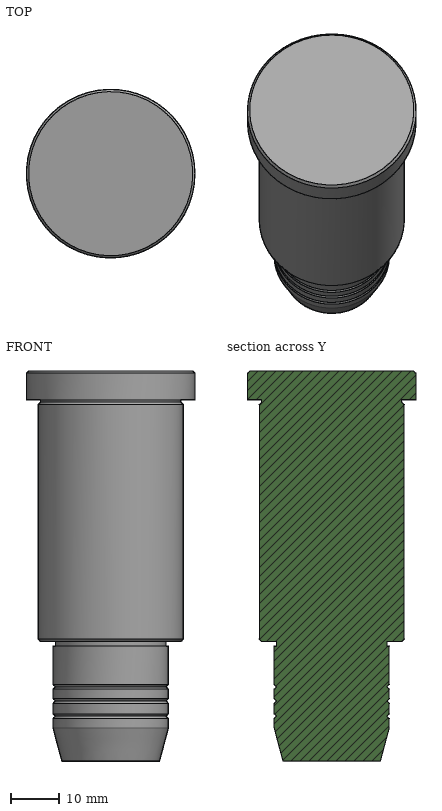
import cadquery as cq

total_length = 81.0
head_radius = 17.5
head_height = 6.0
head_chamfer = 0.5
body_radius = 15.1
body_bottom = 24.9
body_chamfer = 0.5
pin_radius = 12.0

undercut_depth = 0.5
undercut_height = 1.0

groove_heights = [9.4, 12.55, 15.5]
groove_half_width = 0.5
groove_depth = 0.5

tip_height = 7.0
tip_radius = 10.1
tip_edge_radius = 0.25

head_bottom = total_length - head_height
body_neck_radius = body_radius - undercut_depth
pin_neck_radius = pin_radius - undercut_depth


def revolve_profile(points):
    """Revolve a closed (radius, height) outline around the Z axis."""
    return cq.Workplane("XZ").polyline(points).close().revolve(360, (0, 0), (0, 1))


def make_tip():
    """Tapered lead-in with a slightly rounded end."""
    tip = revolve_profile([(0, 0), (tip_radius, 0), (pin_radius, tip_height), (0, tip_height)])
    return tip.faces("<Z").edges().fillet(tip_edge_radius)


def make_shaft():
    """Pin, body and head, with a sloped undercut below the head and a square one below the body."""
    return revolve_profile([
        (0, tip_height),
        (pin_radius, tip_height),
        (pin_radius, body_bottom - undercut_height),
        (pin_neck_radius, body_bottom - undercut_height),
        (pin_neck_radius, body_bottom),
        (body_radius - body_chamfer, body_bottom),
        (body_radius, body_bottom + body_chamfer),
        (body_radius, head_bottom - undercut_height),
        (body_neck_radius, head_bottom - undercut_height + undercut_depth),
        (body_neck_radius, head_bottom),
        (head_radius, head_bottom),
        (head_radius, total_length - head_chamfer),
        (head_radius - head_chamfer, total_length),
        (0, total_length),
    ])


def make_groove(height):
    """V-shaped ring to cut from the pin, centred at the given height."""
    return revolve_profile([
        (pin_radius, height - groove_half_width),
        (pin_radius - groove_depth, height),
        (pin_radius, height + groove_half_width),
    ])


result = make_shaft().union(make_tip())
for groove_height in groove_heights:
    result = result.cut(make_groove(groove_height))